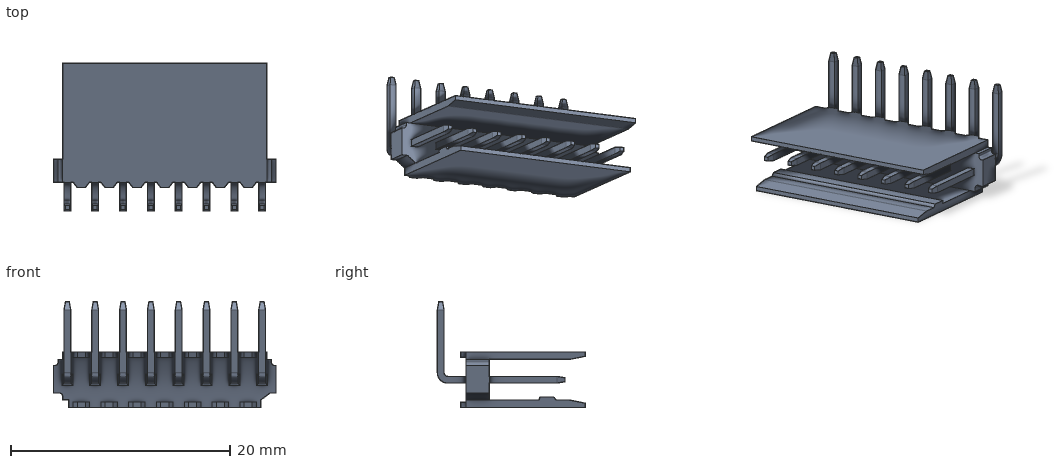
import cadquery as cq
import math


PIN_COUNT = 8
PITCH = 2.55
PIN_WIDTH = PITCH / 4
TIP_WIDTH = 0.37
TIP_LENGTH = 0.75
BEND_INNER_RADIUS = 0.33
PIN_FRONT_Y = 9.06
PIN_REAR_Y = -2.62
PIN_TOP_Z = 9.67

HOUSING_HEIGHT = 5.08
PIN_Z = HOUSING_HEIGHT / 2
WALL_DEPTH = 2.13
EAR_HALF_WIDTH = 10.15
EAR_BOTTOM_Z = 1.32
EAR_TOP_Z = 3.85
UPPER_SHOULDER_HALF_WIDTH = 9.73
UPPER_FILLET = 0.33
LOWER_SHOULDER_HALF_WIDTH = 9.33
LOWER_FILLET = 0.28
KEY_CHAMFER_WIDTH = 0.83
MOUTH_WIDTH = 1.02
MOUTH_DEPTH = 0.2

PLATE_LENGTH = 10.9
PLATE_THICKNESS = 0.7
PLATE_LIP_THICKNESS = 0.4
PLATE_TAPER_LENGTH = 1.42
TOP_PLATE_HALF_WIDTH = 9.33
BOTTOM_PLATE_HALF_WIDTH = 8.78

RIDGE_HEIGHT = 0.28
RIDGE_REAR_Y = 6.66
RIDGE_REAR_SLOPE_LENGTH = 0.08
RIDGE_TOP_LENGTH = 1.25
RIDGE_RAMP_LENGTH = 0.25

TAB_BASE_WIDTH = 1.5
TAB_END_WIDTH = 0.73
TAB_LENGTH = 0.49
TAB_THICKNESS = 0.49


def row_positions(count):
    """X places of a row of equally spaced items centred on X = 0."""
    return [(i - (count - 1) / 2) * PITCH for i in range(count)]


def extrude_along_x(profile, half_width):
    """Extrude a profile drawn in the YZ plane equally to both sides of X = 0."""
    return profile.extrude(half_width, both=True)


def make_wall():
    """Wall that carries the pins, with an ear at each end and a key chamfer at the +X end."""
    plate_underside = HOUSING_HEIGHT - PLATE_THICKNESS
    arc_offset = 1 - math.sqrt(0.5)
    upper_mid_x = UPPER_SHOULDER_HALF_WIDTH + UPPER_FILLET * arc_offset
    upper_mid_z = EAR_TOP_Z + UPPER_FILLET * arc_offset
    upper_end_x = UPPER_SHOULDER_HALF_WIDTH + UPPER_FILLET
    upper_start_z = EAR_TOP_Z + UPPER_FILLET
    lower_mid_x = LOWER_SHOULDER_HALF_WIDTH + LOWER_FILLET * arc_offset
    lower_mid_z = EAR_BOTTOM_Z - LOWER_FILLET * arc_offset

    outline = (
        cq.Workplane("XZ")
        .moveTo(-LOWER_SHOULDER_HALF_WIDTH, PLATE_THICKNESS)
        .lineTo(BOTTOM_PLATE_HALF_WIDTH, PLATE_THICKNESS)
        .lineTo(BOTTOM_PLATE_HALF_WIDTH + KEY_CHAMFER_WIDTH, EAR_BOTTOM_Z)
        .lineTo(EAR_HALF_WIDTH, EAR_BOTTOM_Z)
        .lineTo(EAR_HALF_WIDTH, EAR_TOP_Z)
        .lineTo(upper_end_x, EAR_TOP_Z)
        .threePointArc((upper_mid_x, upper_mid_z), (UPPER_SHOULDER_HALF_WIDTH, upper_start_z))
        .lineTo(UPPER_SHOULDER_HALF_WIDTH, plate_underside)
        .lineTo(-UPPER_SHOULDER_HALF_WIDTH, plate_underside)
        .lineTo(-UPPER_SHOULDER_HALF_WIDTH, upper_start_z)
        .threePointArc((-upper_mid_x, upper_mid_z), (-upper_end_x, EAR_TOP_Z))
        .lineTo(-EAR_HALF_WIDTH, EAR_TOP_Z)
        .lineTo(-EAR_HALF_WIDTH, EAR_BOTTOM_Z)
        .lineTo(-LOWER_SHOULDER_HALF_WIDTH - LOWER_FILLET, EAR_BOTTOM_Z)
        .threePointArc(
            (-lower_mid_x, lower_mid_z),
            (-LOWER_SHOULDER_HALF_WIDTH, EAR_BOTTOM_Z - LOWER_FILLET),
        )
        .close()
    )
    return outline.extrude(-WALL_DEPTH)


def make_bottom_plate():
    """Bottom plate, thinned towards its front lip."""
    profile = cq.Workplane("YZ").polyline([
        (0, 0),
        (PLATE_LENGTH, 0),
        (PLATE_LENGTH, PLATE_LIP_THICKNESS),
        (PLATE_LENGTH - PLATE_TAPER_LENGTH, PLATE_THICKNESS),
        (0, PLATE_THICKNESS),
    ]).close()
    return extrude_along_x(profile, BOTTOM_PLATE_HALF_WIDTH)


def make_top_plate():
    """Top plate, thinned from below towards its front lip."""
    profile = cq.Workplane("YZ").polyline([
        (0, HOUSING_HEIGHT),
        (PLATE_LENGTH, HOUSING_HEIGHT),
        (PLATE_LENGTH, HOUSING_HEIGHT - PLATE_LIP_THICKNESS),
        (PLATE_LENGTH - PLATE_TAPER_LENGTH, HOUSING_HEIGHT - PLATE_THICKNESS),
        (0, HOUSING_HEIGHT - PLATE_THICKNESS),
    ]).close()
    return extrude_along_x(profile, TOP_PLATE_HALF_WIDTH)


def make_latch_ridge():
    """Ridge across the bottom plate, with a long ramp in front and a steep one behind."""
    top_rear_y = RIDGE_REAR_Y + RIDGE_REAR_SLOPE_LENGTH
    top_front_y = top_rear_y + RIDGE_TOP_LENGTH
    ridge_top_z = PLATE_THICKNESS + RIDGE_HEIGHT
    profile = cq.Workplane("YZ").polyline([
        (RIDGE_REAR_Y, PLATE_THICKNESS),
        (top_rear_y, ridge_top_z),
        (top_front_y, ridge_top_z),
        (top_front_y + RIDGE_RAMP_LENGTH, PLATE_THICKNESS),
    ]).close()
    return extrude_along_x(profile, BOTTOM_PLATE_HALF_WIDTH)


def make_tab(x, bottom_z):
    """Trapezoidal tab behind the wall, centred between two pins."""
    return (
        cq.Workplane("XY", origin=(x, 0, bottom_z))
        .polyline([
            (-TAB_BASE_WIDTH / 2, 0),
            (-TAB_END_WIDTH / 2, -TAB_LENGTH),
            (TAB_END_WIDTH / 2, -TAB_LENGTH),
            (TAB_BASE_WIDTH / 2, 0),
        ])
        .close()
        .extrude(TAB_THICKNESS)
    )


def make_pin_passage(x):
    """Square passage that fits the pin, widened to a tapered mouth at the rear face."""
    passage = cq.Workplane("XZ", origin=(x, 0, PIN_Z)).rect(PIN_WIDTH, PIN_WIDTH).extrude(-WALL_DEPTH)
    mouth = (
        cq.Workplane("XZ", origin=(x, 0, PIN_Z))
        .rect(MOUTH_WIDTH, MOUTH_WIDTH)
        .workplane(offset=-MOUTH_DEPTH)
        .rect(PIN_WIDTH, PIN_WIDTH)
        .loft()
    )
    return passage.union(mouth)


def make_housing():
    housing = make_wall().union(make_bottom_plate()).union(make_top_plate()).union(make_latch_ridge())
    for x in row_positions(PIN_COUNT - 1):
        for bottom_z in (0, HOUSING_HEIGHT - TAB_THICKNESS):
            housing = housing.union(make_tab(x, bottom_z))
    for x in row_positions(PIN_COUNT):
        housing = housing.cut(make_pin_passage(x))
    return housing


def add_tapered_tip(pin, face):
    """Extend one end face of the pin with a tapered square tip."""
    return (
        pin.faces(face)
        .workplane(centerOption="CenterOfMass")
        .rect(PIN_WIDTH, PIN_WIDTH)
        .workplane(offset=TIP_LENGTH)
        .rect(TIP_WIDTH, TIP_WIDTH)
        .loft()
    )


def make_pin(x):
    """Square pin bent upwards by a right angle, tapered at both ends."""
    leg_y = PIN_REAR_Y + PIN_WIDTH / 2
    bend_radius = BEND_INNER_RADIUS + PIN_WIDTH / 2
    bend_y = leg_y + bend_radius
    bend_z = PIN_Z + bend_radius
    path = (
        cq.Workplane("YZ", origin=(x, 0, 0))
        .moveTo(PIN_FRONT_Y - TIP_LENGTH, PIN_Z)
        .lineTo(bend_y, PIN_Z)
        .radiusArc((leg_y, bend_z), bend_radius)
        .lineTo(leg_y, PIN_TOP_Z - TIP_LENGTH)
    )
    shank = (
        cq.Workplane("XZ", origin=(x, PIN_FRONT_Y - TIP_LENGTH, PIN_Z))
        .rect(PIN_WIDTH, PIN_WIDTH)
        .sweep(path)
    )
    return add_tapered_tip(add_tapered_tip(shank, ">Y"), ">Z")


housing = make_housing()
pins = [make_pin(x) for x in row_positions(PIN_COUNT)]

result = cq.Compound.makeCompound([housing.val(), *[pin.val() for pin in pins]])